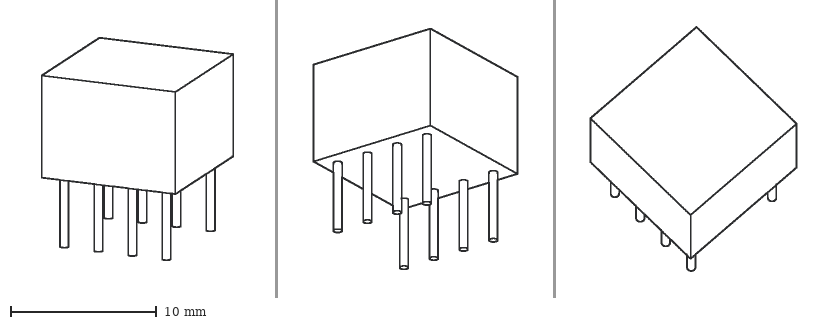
import cadquery as cq

housing_width = 10.0
housing_height = 7.3

overall_height = 12.4
pin_length = overall_height - housing_height
pin_diameter = 0.6
pin_pitch = 2.54
pins_per_row = 4
row_spacing = 3 * pin_pitch


def make_housing():
    return cq.Workplane("XY").box(
        housing_width, housing_width, housing_height, centered=(True, True, False)
    )


def make_pin(x, y):
    """A round pin whose top end meets the underside of the housing."""
    return cq.Workplane("XY").center(x, y).circle(pin_diameter / 2).extrude(-pin_length)


housing = make_housing()

first_pin_x = -(pins_per_row - 1) * pin_pitch / 2
pins = []
for row_y in (-row_spacing / 2, row_spacing / 2):
    for index in range(pins_per_row):
        pins.append(make_pin(first_pin_x + index * pin_pitch, row_y))

result = cq.Compound.makeCompound([housing.val(), *[pin.val() for pin in pins]])